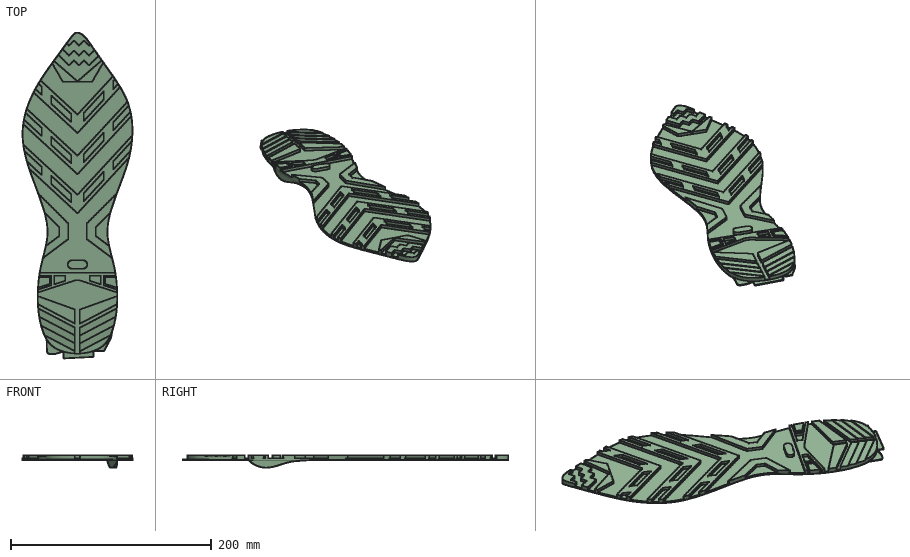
import math

import cadquery as cq

base_thickness = 2.0
sole_thickness = 5.0
tread_height = sole_thickness - base_thickness
reach = 70.0
tread_end_y = 250.0

toe_y = 162.66
heel_y = -157.8
half_width = 54.98
toe_right_edge = [
    (5.4, 160.2),
    (9.0, 156.4),
    (20.1, 140.7),
    (36.8, 117.2),
    (50.0, 93.6),
]
toe_left_edge = [
    (-4.5, 160.2),
    (-7.6, 156.4),
    (-19.1, 140.7),
    (-35.7, 117.2),
    (-48.2, 93.6),
]
rear_right_edge = [
    (half_width, 62.3),
    (49.7, 30.9),
    (36.9, -4.4),
    (30.0, -37.7),
    (36.7, -71.0),
    (39.8, -101.5),
    (36.4, -129.9),
    (25.5, -150.0),
    (9.3, -156.9),
]

tab_thickness = 1.0
left_tab_corner = (-30.5, -158.3)
left_tab = [(-31, -143), left_tab_corner, (-22, -158.3), (-17, -156.6), (-10, -156.6), (-10, -143)]
left_tab_radius = 3.0
centre_tab_left_corner = (-14.2, -162.78)
centre_tab_right_corner = (16.2, -161.2)
centre_tab = [(-14.2, -150), centre_tab_left_corner, centre_tab_right_corner, (16.2, -150)]
centre_tab_radius = 1.3
right_tab_corner = (26.5, -155.4)
right_tab = [(34.5, -137), (33.6, -142), right_tab_corner, (10, -155.4), (10, -137)]
right_tab_radius = 2.0

arch_depth = 7.53
arch_root_z = base_thickness / 2
arch_blank_bottom = -2 * arch_depth
arch_profile = [
    (-36.0, 0),
    (-44.0, -0.6),
    (-54.0, -1.5),
    (-68.3, -5.6),
    (-80.0, -arch_depth),
    (-89.0, -5.4),
    (-96.5, 0),
]
arch_inner_wall = [
    (29.4, -36.0),
    (30.2, -58.0),
    (31.8, -71.0),
    (34.8, -82.0),
    (39.75, -96.5),
]

zigzag_pitch = 10.0
zigzag_depth = 5.0
zigzag_valley_x = 1.5
zigzag_peaks_y = [154.7, 144.7, 134.9]
toe_plate_y = 113.5
toe_plate_half_width = 14.6
toe_plate_side_angle = 60.0
toe_notch_y = toe_plate_y + 0.4
toe_notch_slope = 0.87

chevron_apexes_y = [80.8, 39.7, 0.7]
chevron_width_y = 18.5
chevron_turn = 2.25
chevron_left_slope = math.tan(math.radians(45 - chevron_turn))
chevron_right_slope = math.tan(math.radians(45 + chevron_turn))
slot_inset_y = 5.2
inner_slot_start = 6.4
inner_slot_end = 26.2
outer_slot_start = 35.8

waist_outer_x = 9.4
waist_stripe_width = 8.7
waist_upper_slope = 1.0
waist_lower_slope = 0.75
waist_outer_y = (-27.8, -43.6)
waist_inner_y = (-31.8, -40.3)

stud_y = -68.9
stud_length = 19.4
stud_width = 8.3

groove_half_width = 2.5
bar_front_y = -77.1
bar_rear_y = -84.8
bar_rear_slope = 0.323
bar_rib = 2.8
inner_pocket_x = (12.0, 23.4)
outer_groove_x = 26.0
groove_width = 1.9
block_front_y = -113.8
block_front_slope = 0.36
block_rear_y = -127.9
rear_pad_y = -131.9
strip_slope = 0.525
strip_pitch_y = 7.85
strip_drop = 0.9
strip_count = 3


def prism(points, bottom, top):
    return cq.Workplane("XY").workplane(offset=bottom).polyline(points).close().extrude(top - bottom)


def tread(points):
    return prism(points, base_thickness, sole_thickness)


def mirrored(points):
    return [(-x, y) for x, y in points]


def both_sides(points):
    return tread(points).union(tread(mirrored(points)))


def sole_body(thickness, bottom=0.0):
    right = [(0, toe_y)] + toe_right_edge + rear_right_edge
    left = toe_left_edge + mirrored(rear_right_edge)
    edge = right + [(0, heel_y)] + left[::-1]
    return cq.Workplane("XY").workplane(offset=bottom).spline(edge, periodic=True).close().extrude(thickness)


def zigzag(peak_y):
    """Zigzag line from left to right; the end arms run straight on past the sole edge."""
    valley_y = peak_y - zigzag_depth
    slope = zigzag_depth / (zigzag_pitch / 2)
    left_x = zigzag_valley_x - zigzag_pitch
    right_x = zigzag_valley_x + zigzag_pitch
    points = [(left_x - reach, valley_y + slope * reach)]
    for valley_x in (left_x, zigzag_valley_x):
        points.append((valley_x, valley_y))
        points.append((valley_x + zigzag_pitch / 2, peak_y))
    points.append((right_x, valley_y))
    points.append((right_x + reach, valley_y + slope * reach))
    return points


def toe_tread():
    tip_edge, band_front, band_rear = [zigzag(y) for y in zigzag_peaks_y]
    tip = tread(tip_edge)
    band = tread(band_front + band_rear[::-1])
    side_slope = math.tan(math.radians(toe_plate_side_angle))
    notch_rise = toe_notch_y - toe_plate_y
    corner_x = (side_slope * toe_plate_half_width + notch_rise) / (side_slope - toe_notch_slope)
    wing = [
        (0, toe_plate_y),
        (toe_plate_half_width, toe_plate_y),
        (corner_x, toe_notch_y + toe_notch_slope * corner_x),
        (0, toe_notch_y),
    ]
    return tip.union(band).union(both_sides(wing))


def chevron(apex_y):
    def arm(side, slope, start, end, inset):
        upper_y = apex_y - inset
        lower_y = apex_y - chevron_width_y + inset
        return tread([
            (side * start, upper_y + slope * start),
            (side * end, upper_y + slope * end),
            (side * end, lower_y + slope * end),
            (side * start, lower_y + slope * start),
        ])

    arms = cq.Workplane("XY")
    slots = cq.Workplane("XY")
    for side, slope in ((-1, chevron_left_slope), (1, chevron_right_slope)):
        arms = arms.add(arm(side, slope, 0, reach, 0))
        slots = slots.add(arm(side, slope, inner_slot_start, inner_slot_end, slot_inset_y))
        slots = slots.add(arm(side, slope, outer_slot_start, reach, slot_inset_y))
    return arms.combine().cut(slots.combine())


def waist_stripes():
    def bent_line(x, corner_y):
        upper_y, lower_y = corner_y
        return [
            (x + reach, upper_y + waist_upper_slope * reach),
            (x, upper_y),
            (x, lower_y),
            (x + reach, lower_y - waist_lower_slope * reach),
        ]

    inner = bent_line(waist_outer_x + waist_stripe_width, waist_inner_y)
    return both_sides(bent_line(waist_outer_x, waist_outer_y) + inner[::-1])


def oval_stud():
    stud = cq.Workplane("XY").workplane(offset=base_thickness).center(0, stud_y)
    return stud.slot2D(stud_length, stud_width).extrude(tread_height)


def heel_bar():
    def rear_edge(x, gap):
        return bar_rear_y + gap - bar_rear_slope * (x - groove_half_width)

    def panel(start, end, front_y, gap):
        return both_sides([
            (start, front_y),
            (end, front_y),
            (end, rear_edge(end, gap)),
            (start, rear_edge(start, gap)),
        ])

    pocket_front_y = bar_front_y - bar_rib
    island_x = outer_groove_x + groove_width
    bar = panel(groove_half_width, reach, bar_front_y, 0)
    centre = tread([
        (-groove_half_width, bar_front_y),
        (groove_half_width, bar_front_y),
        (groove_half_width, bar_rear_y),
        (-groove_half_width, bar_rear_y),
    ])
    bar = bar.union(centre)
    bar = bar.cut(panel(*inner_pocket_x, pocket_front_y, bar_rib))
    bar = bar.cut(panel(outer_groove_x, reach, pocket_front_y, bar_rib))
    return bar.union(panel(island_x, reach, pocket_front_y - groove_width, bar_rib + groove_width))


def heel_blocks():
    run = reach - groove_half_width
    return both_sides([
        (groove_half_width, block_front_y),
        (reach, block_front_y + block_front_slope * run),
        (reach, block_rear_y + strip_slope * run),
        (groove_half_width, block_rear_y),
    ])


def heel_pads():
    """Rear pads with slanted strips, each sloping down towards the heel like a saw tooth."""
    run = reach - groove_half_width
    pad = tread([
        (groove_half_width, rear_pad_y),
        (reach, rear_pad_y + strip_slope * run),
        (reach, heel_y),
        (groove_half_width, heel_y),
    ])
    angle = math.atan(strip_slope)
    along = cq.Vector(math.cos(angle), math.sin(angle), 0)
    across = cq.Vector(math.sin(angle), -math.cos(angle), 0)
    strip_width = strip_pitch_y * math.cos(angle)
    for number in range(strip_count):
        start_y = rear_pad_y - number * strip_pitch_y
        start = cq.Vector(groove_half_width, start_y, sole_thickness)
        plane = cq.Plane(origin=start, xDir=across, normal=along)
        wedge = cq.Workplane(plane).polyline([(0, 0), (strip_width, 0), (strip_width, strip_drop)])
        pad = pad.cut(wedge.close().extrude(2 * reach, both=True))
    return pad.union(pad.mirror("YZ"))


def heel_tab(outline, rounded_corners, radius):
    tab = prism(outline, 0, tab_thickness)
    for x, y in rounded_corners:
        corner = cq.selectors.NearestToPointSelector((x, y, tab_thickness / 2))
        tab = tab.edges(corner).fillet(radius)
    return tab


def heel_tabs():
    left = heel_tab(left_tab, [left_tab_corner], left_tab_radius)
    centre = heel_tab(centre_tab, [centre_tab_left_corner, centre_tab_right_corner], centre_tab_radius)
    right = heel_tab(right_tab, [right_tab_corner], right_tab_radius)
    return left.union(centre).union(right)


def arch_support():
    """Bulging rib whose outer side continues the sole edge; its root lies inside the base."""
    front_y = arch_profile[0][0]
    rear_y = arch_profile[-1][0]
    section = cq.Workplane("YZ").spline(arch_profile)
    section = section.lineTo(rear_y, arch_root_z).lineTo(front_y, arch_root_z).close()
    plan = cq.Workplane("XY").workplane(offset=arch_blank_bottom).spline(arch_inner_wall)
    plan = plan.lineTo(reach, rear_y).lineTo(reach, front_y).close()
    height = arch_root_z - arch_blank_bottom
    rib = section.extrude(reach).intersect(plan.extrude(height))
    return rib.intersect(sole_body(height, arch_blank_bottom))


def tread_pattern():
    pattern = toe_tread()
    for apex_y in chevron_apexes_y:
        pattern = pattern.union(chevron(apex_y))
    for feature in (waist_stripes(), oval_stud(), heel_bar(), heel_blocks(), heel_pads()):
        pattern = pattern.union(feature)
    return pattern


def tread_gaps():
    """Everything between the raised tread, down to the base."""
    whole = [(-reach, -tread_end_y), (reach, -tread_end_y), (reach, tread_end_y), (-reach, tread_end_y)]
    return tread(whole).cut(tread_pattern())


result = sole_body(sole_thickness).cut(tread_gaps()).union(heel_tabs()).union(arch_support())